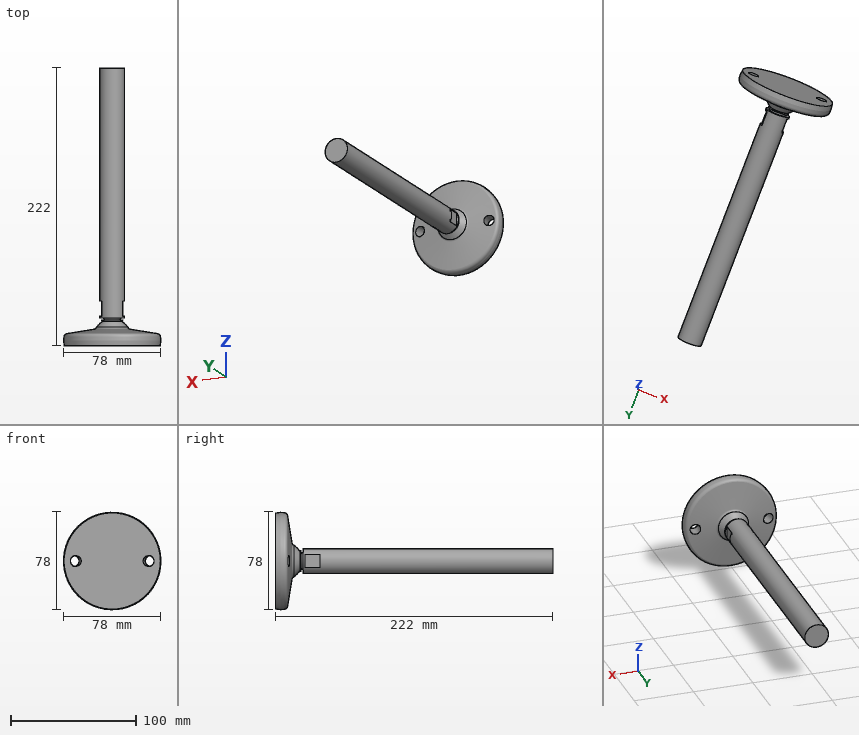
import cadquery as cq


plate_radius = 38.99
plate_bottom_radius = 38.4
plate_widest_height = 4.3
rim_top_radius = 38.75
rim_top_height = 7.0
shoulder_radius = 36.6
shoulder_height = 9.9
shoulder_mid_radius = 38.1
shoulder_mid_height = 8.8
slope_top_radius = 14.4
slope_top_height = 13.5

dome_base_radius = 12.75
dome_base_height = 15.0
dome_mid_radius = 10.55
dome_mid_height = 17.4
dome_top_height = 19.6
fillet_mid_radius = 13.2
fillet_mid_height = 14.1
lip_neck_radius = 8.0
lip_radius = 8.5
lip_top_height = 20.7

hole_diameter = 8.5
hole_bottom_offset = 29.0
hole_cutter_margin = slope_top_height
hole_cutter_length = slope_top_height + 2 * hole_cutter_margin

overall_length = 222.0
stem_diameter = 20.0
stem_bottom = 22.3
neck_top_radius = 7.3
neck_bottom_radius = 6.2
flat_spacing = 17.0
flat_length = 12.0
flat_start = 23.8


def make_foot():
    foot = (
        cq.Workplane("XY")
        .lineTo(plate_bottom_radius, 0)
        .lineTo(plate_radius, plate_widest_height)
        .lineTo(rim_top_radius, rim_top_height)
        .threePointArc((shoulder_mid_radius, shoulder_mid_height), (shoulder_radius, shoulder_height))
        .lineTo(slope_top_radius, slope_top_height)
        .threePointArc((fillet_mid_radius, fillet_mid_height), (dome_base_radius, dome_base_height))
        .threePointArc((dome_mid_radius, dome_mid_height), (lip_neck_radius, dome_top_height))
        .lineTo(lip_radius, lip_top_height)
        .lineTo(0, lip_top_height)
        .close()
        .revolve(360, (0, 0, 0), (0, 1, 0))
    )
    for side in (-1, 1):
        foot = foot.cut(make_hole_cutter(side))
    return foot


def make_hole_cutter(side):
    """Cylinder leaning outwards so that it stands square to the sloping top."""
    rise = slope_top_height - shoulder_height
    run = shoulder_radius - slope_top_radius
    axis = cq.Vector(side * rise, run, 0).normalized()
    bottom_centre = cq.Vector(side * hole_bottom_offset, 0, 0)
    start = bottom_centre - axis * hole_cutter_margin
    return cq.Solid.makeCylinder(hole_diameter / 2, hole_cutter_length, start, axis)


def make_stem():
    stem_radius = stem_diameter / 2
    stem = (
        cq.Workplane("XY")
        .moveTo(0, lip_top_height)
        .lineTo(neck_bottom_radius, lip_top_height)
        .lineTo(neck_top_radius, stem_bottom)
        .lineTo(stem_radius, stem_bottom)
        .lineTo(stem_radius, overall_length)
        .lineTo(0, overall_length)
        .close()
        .revolve(360, (0, 0, 0), (0, 1, 0))
    )
    for side in (-1, 1):
        flat_cutter = cq.Workplane("XY").box(stem_radius, flat_length, stem_diameter)
        flat_offset = side * (flat_spacing + stem_radius) / 2
        stem = stem.cut(flat_cutter.translate((flat_offset, flat_start + flat_length / 2, 0)))
    return stem


foot = make_foot()
stem = make_stem()

result = cq.Compound.makeCompound([foot.val(), stem.val()])